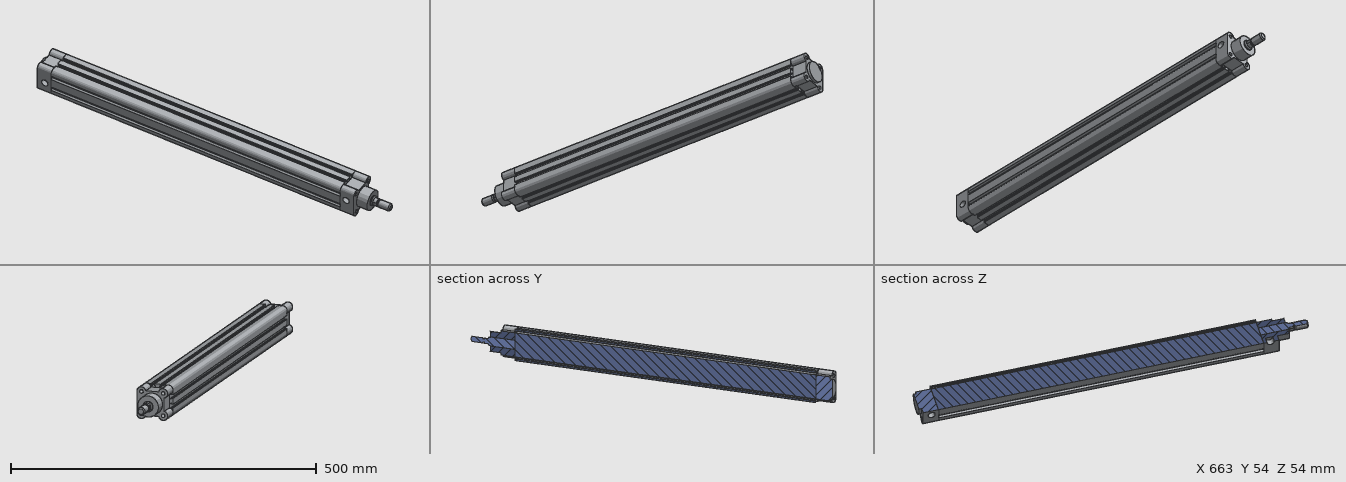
import cadquery as cq
import math

REAR_CAP_X = 4.5
TUBE_START_X = 31.0
TUBE_END_X = 582.0
FRONT_CAP_END_X = 608.0
COLLAR_END_X = 628.0
ROD_STEP_X = 630.0
NECK_START_X = 632.0
GROOVE_START_X = 638.5
GROOVE_END_X = 640.0
THREAD_START_X = 642.0
ROD_TIP_X = 663.0

SIDE = 54.0
HALF_SIDE = SIDE / 2
CORNER_RADIUS = 8.0
BOLT_OFFSET = HALF_SIDE - CORNER_RADIUS

CAP_RECESS_DEPTH = 6.0
COLLAR_RADIUS = 18.0
BOLT_HOLE_RADIUS = 3.0
BOLT_HOLE_DEPTH = 13.0
PORT_RADIUS = 6.0
PORT_DEPTH = 10.0
PORT_OFFSET_Z = 4.5
PORT_FROM_CAP_FACE = 14.5

RAIL_GROOVE_OUTER = 11.0
RAIL_HALF_WIDTH = 5.0
RAIL_HEAD_HEIGHT = 3.0
RAIL_UNDERCUT = 1.0
RAIL_GROOVE_DEPTH = 6.0

TAPER_GROOVE_OUTER = 15.0
TAPER_GROOVE_INNER = 8.5
TAPER_GROOVE_DEPTH = 3.0
TAPER_GROOVE_INSET = 2.0

ROD_RADIUS = 8.5
NECK_RADIUS = 6.5
GROOVE_RADIUS = 5.0
TIP_CHAMFER = 2.0
FLAT_HALF_WIDTH = 3.0


def cylinder_x(radius, start_x, end_x, y=0, z=0):
    """Cylinder along X between two stations."""
    return cq.Workplane("YZ", origin=(start_x, y, z)).circle(radius).extrude(end_x - start_x)


def box_between(x_range, y_range, z_range):
    """Box given by its limits along X, Y and Z."""
    limits = (x_range, y_range, z_range)
    size = [high - low for low, high in limits]
    return cq.Workplane("XY").box(*size, centered=False).translate([low for low, high in limits])


def rounded_bar(start_x, end_x):
    """Square bar with rounded long edges."""
    return (
        cq.Workplane("YZ", origin=(start_x, 0, 0))
        .rect(SIDE, SIDE)
        .extrude(end_x - start_x)
        .edges("|X")
        .fillet(CORNER_RADIUS)
    )


def on_corner_arc(angle):
    """Point on the round of the +Y +Z corner, at an angle in degrees from +Y."""
    turn = math.radians(angle)
    return (BOLT_OFFSET + CORNER_RADIUS * math.cos(turn), BOLT_OFFSET + CORNER_RADIUS * math.sin(turn))


def make_cap_block(start_x, end_x):
    """Square block with three sides recessed between round bolt bosses and the -Y side flat."""
    floor = HALF_SIDE - CAP_RECESS_DEPTH
    boss_reach = math.sqrt(CORNER_RADIUS**2 - (BOLT_OFFSET - floor) ** 2)
    lip = BOLT_OFFSET - boss_reach
    corner_y, corner_z = on_corner_arc(45)
    return (
        cq.Workplane("YZ", origin=(start_x, 0, 0))
        .moveTo(-HALF_SIDE, -BOLT_OFFSET)
        .lineTo(-HALF_SIDE, BOLT_OFFSET)
        .threePointArc((-corner_y, corner_z), (-lip, floor))
        .lineTo(lip, floor)
        .threePointArc((corner_y, corner_z), (floor, lip))
        .lineTo(floor, -lip)
        .threePointArc((corner_y, -corner_z), (lip, -floor))
        .lineTo(-lip, -floor)
        .threePointArc((-corner_y, -corner_z), (-HALF_SIDE, -BOLT_OFFSET))
        .close()
        .extrude(end_x - start_x)
    )


def make_cap(start_x, end_x, outer_face_x, port_x, port_z):
    """End cap with four bolt holes in its outer face and a port in its -Y side."""
    cap = make_cap_block(start_x, end_x)
    bolt_places = [(y, z) for y in (-BOLT_OFFSET, BOLT_OFFSET) for z in (-BOLT_OFFSET, BOLT_OFFSET)]
    inward = BOLT_HOLE_DEPTH if outer_face_x == start_x else -BOLT_HOLE_DEPTH
    for y, z in bolt_places:
        hole = cylinder_x(BOLT_HOLE_RADIUS, outer_face_x, outer_face_x + inward, y, z)
        cap = cap.cut(hole)

    port = cq.Workplane("XZ", origin=(port_x, -HALF_SIDE, port_z)).circle(PORT_RADIUS).extrude(-PORT_DEPTH)
    return cap.cut(port)


def make_rear_cap():
    """Rear cap with its short centring spigot."""
    port_x = REAR_CAP_X + PORT_FROM_CAP_FACE
    cap = make_cap(REAR_CAP_X, TUBE_START_X, REAR_CAP_X, port_x, -PORT_OFFSET_Z)
    return cap.union(cylinder_x(COLLAR_RADIUS, 0, REAR_CAP_X))


def make_front_cap():
    """Front cap with its collar, bored through for the rod."""
    port_x = FRONT_CAP_END_X - PORT_FROM_CAP_FACE
    cap = make_cap(TUBE_END_X, FRONT_CAP_END_X, FRONT_CAP_END_X, port_x, PORT_OFFSET_Z)
    cap = cap.union(cylinder_x(COLLAR_RADIUS, FRONT_CAP_END_X, COLLAR_END_X))
    return cap.cut(cylinder_x(ROD_RADIUS, TUBE_END_X, COLLAR_END_X))


def make_groove_pair(outline):
    """Pair of grooves along the top of the tube: one of the given (y, z) outline and its mirror image."""
    groove = (
        cq.Workplane("YZ", origin=(TUBE_START_X, 0, 0))
        .polyline(outline)
        .close()
        .extrude(TUBE_END_X - TUBE_START_X)
    )
    return groove.union(groove.mirror("XZ"))


def make_rail_grooves():
    """Grooves widened below their mouths, leaving a T-shaped rail between them."""
    head_z = HALF_SIDE - RAIL_HEAD_HEIGHT
    floor_z = HALF_SIDE - RAIL_GROOVE_DEPTH
    return make_groove_pair([
        (RAIL_HALF_WIDTH, HALF_SIDE),
        (RAIL_HALF_WIDTH, head_z),
        (RAIL_HALF_WIDTH - RAIL_UNDERCUT, head_z),
        (RAIL_HALF_WIDTH - RAIL_UNDERCUT, floor_z),
        (RAIL_GROOVE_OUTER + RAIL_UNDERCUT, floor_z),
        (RAIL_GROOVE_OUTER + RAIL_UNDERCUT, head_z),
        (RAIL_GROOVE_OUTER, head_z),
        (RAIL_GROOVE_OUTER, HALF_SIDE),
    ])


def make_taper_grooves():
    """Grooves that narrow evenly towards a flat floor."""
    floor_z = HALF_SIDE - TAPER_GROOVE_DEPTH
    return make_groove_pair([
        (TAPER_GROOVE_INNER, HALF_SIDE),
        (TAPER_GROOVE_INNER + TAPER_GROOVE_INSET, floor_z),
        (TAPER_GROOVE_OUTER - TAPER_GROOVE_INSET, floor_z),
        (TAPER_GROOVE_OUTER, HALF_SIDE),
    ])


def make_tube():
    """Profile tube with T-shaped rails on three sides and tapered grooves on the -Y side."""
    tube = rounded_bar(TUBE_START_X, TUBE_END_X)
    rail_grooves = make_rail_grooves()
    for turn in (-90, 0, 180):
        tube = tube.cut(rail_grooves.rotate((0, 0, 0), (1, 0, 0), turn))
    return tube.cut(make_taper_grooves().rotate((0, 0, 0), (1, 0, 0), 90))


def make_rod():
    """Stepped rod with a shoulder, a neck with wrench flats, a relief groove and a chamfered end."""
    profile = [
        (TUBE_END_X, 0),
        (TUBE_END_X, ROD_RADIUS),
        (ROD_STEP_X, ROD_RADIUS),
        (NECK_START_X, NECK_RADIUS),
        (GROOVE_START_X, NECK_RADIUS),
        (GROOVE_START_X, GROOVE_RADIUS),
        (GROOVE_END_X, GROOVE_RADIUS),
        (THREAD_START_X, NECK_RADIUS),
        (ROD_TIP_X - TIP_CHAMFER, NECK_RADIUS),
        (ROD_TIP_X, NECK_RADIUS - TIP_CHAMFER),
        (ROD_TIP_X, 0),
    ]
    rod = cq.Workplane("XY").polyline(profile).close().revolve(360, (0, 0, 0), (1, 0, 0))

    flat_y = math.sqrt(NECK_RADIUS**2 - FLAT_HALF_WIDTH**2)
    x_range = (NECK_START_X, GROOVE_START_X)
    z_range = (-NECK_RADIUS, NECK_RADIUS)
    for y_range in ((-NECK_RADIUS, -flat_y), (flat_y, NECK_RADIUS)):
        rod = rod.cut(box_between(x_range, y_range, z_range))
    return rod


rear_cap = make_rear_cap()
tube = make_tube()
front_cap = make_front_cap()
rod = make_rod()

result = cq.Compound.makeCompound([rear_cap.val(), tube.val(), front_cap.val(), rod.val()])